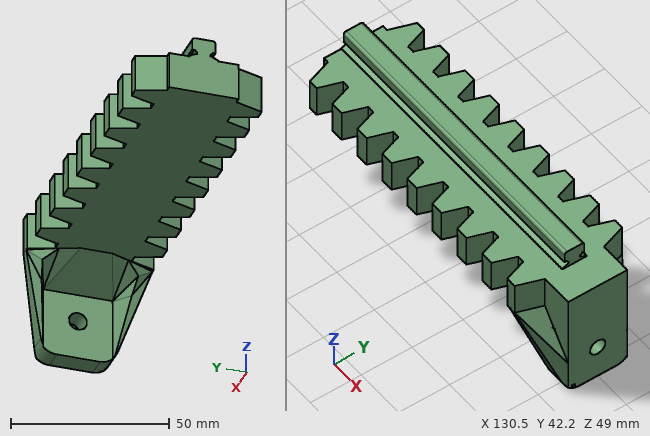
import cadquery as cq

overall_length = 130.5
body_length = 130.1
body_half_width = 11.6
foot_height = 29.5
rack_thickness = 12.5
rack_top = foot_height + rack_thickness

rack_length = 117.7
rack_half_width = 21.1
tooth_height = 8.4
pitch = 13.3
gap_count = 8
gap_root_width = 2.7
first_gap_center = 13.2
flank_run_per_height = 0.34
first_tooth_base = 2.1

rail_height = 7.0
rail_half_width = 3.9
rail_edge_radius = 1.0
rail_head_bottom = 2.7
rail_lip_half_width = 3.1
neck_half_width = 2.2
neck_top = 1.8
neck_bottom = 1.5
rail_base_half_width = 4.8
rail_base_step = 0.3

foot_front = 122.8
foot_corner_radius = 6.0
brace_drop = 6.5
brace_half_width = 5.4
brace_start = 105.0
gusset_inner_start = 107.4
gusset_outer_start = 111.7
gusset_back_height = 13.3
bulge_upper = (110.7, 16.0, 3.1)
bulge_lower = (114.3, 15.1, 8.4)

hole_diameter = 6.0
hole_height = 13.5

pip_projection = overall_length - body_length
pip_size = 1.0
pip_center_y = -9.7
pip_center_z = 1.6

end_flank_run = flank_run_per_height * (rack_half_width - body_half_width)
last_tooth_tip = rack_length - end_flank_run


def rack_prism(points):
    """Extrude an XY outline through the rack thickness."""
    return cq.Workplane("XY", origin=(0, 0, foot_height)).polyline(points).close().extrude(rack_thickness)


def both_sides(half):
    """Join a half to its mirror image across the symmetry plane."""
    return half.union(half.mirror("XZ"))


def make_body():
    return rack_prism([
        (0, -body_half_width),
        (body_length, -body_half_width),
        (body_length, body_half_width),
        (0, body_half_width),
    ])


def make_half_tooth_band():
    """Teeth on the +Y side, left standing between the gaps cut into a solid band."""
    band = rack_prism([
        (first_tooth_base, 0),
        (first_tooth_base, body_half_width),
        (first_tooth_base + end_flank_run, rack_half_width),
        (last_tooth_tip, rack_half_width),
        (rack_length, body_half_width),
        (rack_length, 0),
    ])
    root = rack_half_width - tooth_height
    half_root = gap_root_width / 2
    half_tip = half_root + flank_run_per_height * tooth_height
    for i in range(gap_count):
        center = first_gap_center + i * pitch
        band = band.cut(rack_prism([
            (center - half_root, root),
            (center + half_root, root),
            (center + half_tip, rack_half_width),
            (center - half_tip, rack_half_width),
        ]))
    return band


def make_rail():
    half_profile = [
        (rail_base_half_width, 0),
        (rail_base_half_width, rail_base_step),
        (neck_half_width, neck_bottom),
        (neck_half_width, neck_top),
        (rail_lip_half_width, rail_head_bottom),
        (rail_half_width, rail_head_bottom),
        (rail_half_width, rail_height),
    ]
    other_half = [(-y, z) for y, z in reversed(half_profile)]
    rail = (
        cq.Workplane("YZ", origin=(0, 0, rack_top))
        .polyline(half_profile + other_half)
        .close()
        .extrude(rack_length)
    )
    return rail.edges("|X and >Z").fillet(rail_edge_radius)


def polyhedron(faces):
    """Solid bounded by flat faces, each given as its corner points in order."""
    shell = cq.Shell.makeShell([
        cq.Face.makeFromWires(cq.Wire.makePolygon([cq.Vector(*p) for p in face], close=True))
        for face in faces
    ])
    return cq.Workplane(cq.Solid.makeSolid(shell))


def make_half_heel():
    """The +Y half of the foot, its sloping brace and the gusset out to the end tooth."""
    top = foot_height
    brace_z = foot_height - brace_drop
    mid_brace_top = (brace_start, 0, top)
    mid_brace_foot = (foot_front, 0, brace_z)
    mid_front_sole = (foot_front, 0, 0)
    mid_back_sole = (body_length, 0, 0)
    mid_back_top = (body_length, 0, top)
    brace_top = (brace_start, brace_half_width, top)
    brace_foot = (foot_front, body_half_width, brace_z)
    front_sole = (foot_front, body_half_width, 0)
    back_sole = (body_length, body_half_width, 0)
    back_gusset = (body_length, body_half_width, gusset_back_height)
    back_top = (body_length, body_half_width, top)
    inner_root = (gusset_inner_start, body_half_width, top)
    inner_tip = (gusset_outer_start, rack_half_width, top)
    outer_tip = (last_tooth_tip, rack_half_width, top)
    outer_root = (rack_length, body_half_width, top)
    upper_bulge, lower_bulge = [(x, y, top - depth) for x, y, depth in (bulge_upper, bulge_lower)]

    return polyhedron([
        [mid_brace_top, brace_top, inner_root, inner_tip, outer_tip, outer_root, back_top, mid_back_top],
        [mid_brace_top, mid_brace_foot, mid_front_sole, mid_back_sole, mid_back_top],
        [mid_back_top, back_top, back_gusset, back_sole, mid_back_sole],
        [outer_root, back_top, back_gusset],
        [outer_tip, outer_root, back_gusset],
        [outer_tip, back_gusset, back_sole],
        [inner_tip, outer_tip, back_sole, front_sole],
        [front_sole, back_sole, mid_back_sole, mid_front_sole],
        [brace_foot, front_sole, mid_front_sole, mid_brace_foot],
        [mid_brace_top, brace_top, brace_foot, mid_brace_foot],
        [brace_top, inner_root, brace_foot],
        [inner_root, upper_bulge, brace_foot],
        [inner_root, inner_tip, upper_bulge],
        [inner_tip, upper_bulge, lower_bulge],
        [inner_tip, lower_bulge, front_sole],
        [upper_bulge, lower_bulge, brace_foot],
        [lower_bulge, brace_foot, front_sole],
    ])


def make_heel():
    """Both heel halves, trimmed so the lower corners of the foot are round."""
    envelope = (
        cq.Workplane("YZ")
        .polyline([
            (-body_half_width, 0),
            (body_half_width, 0),
            (rack_half_width, foot_height),
            (-rack_half_width, foot_height),
        ])
        .close()
        .extrude(body_length)
        .edges("|X and <Z")
        .fillet(foot_corner_radius)
    )
    return both_sides(make_half_heel()).intersect(envelope)


def make_pip():
    return (
        cq.Workplane("YZ", origin=(body_length, pip_center_y, pip_center_z))
        .rect(pip_size, pip_size)
        .extrude(pip_projection)
    )


def make_hole():
    return (
        cq.Workplane("YZ", origin=(foot_front, 0, hole_height))
        .circle(hole_diameter / 2)
        .extrude(body_length - foot_front)
    )


result = (
    make_body()
    .union(both_sides(make_half_tooth_band()))
    .union(make_rail())
    .union(make_heel())
    .union(make_pip())
    .cut(make_hole())
)